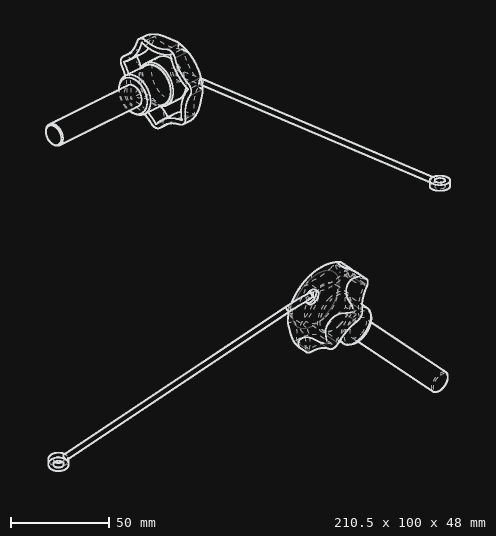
import cadquery as cq
import math

lobe_count = 7
tip_radius = 25.0
lobe_radius = 4.5
valley_radius = 21.36
wall = 3.0

crown_height = 15.2
shoulder_height = 13.3
shoulder_radius = 16.8
side_height = 4.6
cavity_depth = 9.5

boss_diameter = 24.0
boss_end = 0.8
hub_diameter = 21.9
hub_length = 17.3
hub_chamfer = 1.0
hub_chamfer_length = 1.5
stem_diameter = 12.0
stem_end = 76.8
stem_chamfer = 0.6

anchor_diameter = 8.0
anchor_top = 16.6
cord_diameter = 3.2
cord_height = 17.9
cord_start = 15.0
cord_root_height = 16.5
cord_root_x = -1.7
eye_diameter = 10.5
eye_hole = 5.3
eye_thickness = 3.4
overall_length = 210.5

half_pitch = math.pi / lobe_count
lobe_center = tip_radius - lobe_radius
valley_to_lobe = valley_radius - lobe_radius
scallop_center = (lobe_center**2 - valley_to_lobe**2) / (
    2 * (lobe_center * math.cos(half_pitch) - valley_to_lobe)
)
scallop_radius = scallop_center - valley_radius

left_reach = lobe_center * math.cos(half_pitch / 2) + lobe_radius
eye_x = overall_length - left_reach - eye_diameter / 2


def polar(radius, angle):
    return (radius * math.cos(angle), radius * math.sin(angle))


def cylinder(diameter, y_from, y_to):
    """Solid cylinder on the knob axis."""
    plane = cq.Workplane("XZ", origin=(0, y_from, 0))
    return plane.circle(diameter / 2).extrude(y_from - y_to)


def lobe_angle(index):
    return -math.pi / 2 + 2 * half_pitch * index


def star_outline():
    """Rounded lobes joined tangentially by concave scallops."""
    contact_ratio = lobe_radius / (lobe_radius + scallop_radius)
    center = polar(lobe_center, half_pitch)
    contact_x = center[0] + (scallop_center - center[0]) * contact_ratio
    contact_y = center[1] * (1 - contact_ratio)
    contact_radius = math.hypot(contact_x, contact_y)
    contact_offset = half_pitch - math.atan2(contact_y, contact_x)

    outline = cq.Workplane("XZ").moveTo(*polar(contact_radius, lobe_angle(0) - contact_offset))
    for index in range(lobe_count):
        angle = lobe_angle(index)
        next_angle = lobe_angle(index + 1)
        outline = outline.threePointArc(
            polar(tip_radius, angle), polar(contact_radius, angle + contact_offset)
        )
        outline = outline.threePointArc(
            polar(valley_radius, angle + half_pitch),
            polar(contact_radius, next_angle - contact_offset),
        )
    return outline.close()


def cavity_outline():
    """Scallops moved inward by the wall, meeting in sharp corners."""
    inner_scallop = scallop_radius + wall
    corner_radius = scallop_center * math.cos(half_pitch) - math.sqrt(
        inner_scallop**2 - (scallop_center * math.sin(half_pitch)) ** 2
    )
    outline = cq.Workplane("XZ").moveTo(*polar(corner_radius, lobe_angle(0)))
    for index in range(lobe_count):
        outline = outline.threePointArc(
            polar(valley_radius - wall, lobe_angle(index) + half_pitch),
            polar(corner_radius, lobe_angle(index + 1)),
        )
    return outline.close()


def crowned_blank():
    """Turned blank with a shallow domed top and a rounded shoulder."""
    diagonal = math.sqrt(0.5)
    shoulder_middle = (
        shoulder_radius + (tip_radius - shoulder_radius) * diagonal,
        side_height + (shoulder_height - side_height) * diagonal,
    )
    rise = crown_height - shoulder_height
    dome_radius = (shoulder_radius**2 + rise**2) / (2 * rise)
    middle = shoulder_radius / 2
    middle_height = crown_height - dome_radius + math.sqrt(dome_radius**2 - middle**2)
    return (
        cq.Workplane("XY")
        .lineTo(tip_radius, 0)
        .lineTo(tip_radius, side_height)
        .threePointArc(shoulder_middle, (shoulder_radius, shoulder_height))
        .threePointArc((middle, middle_height), (0, crown_height))
        .close()
        .revolve(360, (0, 0, 0), (0, 1, 0))
    )


def knob_head():
    star = star_outline().extrude(-crown_height)
    cavity = cavity_outline().extrude(-cavity_depth)
    return crowned_blank().intersect(star).cut(cavity)


def hub_and_stem():
    boss = cylinder(boss_diameter, cavity_depth, -boss_end).faces("<Y").chamfer(boss_end)
    hub = cylinder(hub_diameter, cavity_depth, -hub_length)
    hub = hub.faces("<Y").chamfer(hub_chamfer_length, hub_chamfer)
    stem = cylinder(stem_diameter, 0, -stem_end).faces("<Y").chamfer(stem_chamfer)
    return boss.union(hub).union(stem)


def cord():
    anchor = cylinder(anchor_diameter, shoulder_height, anchor_top)
    root_direction = (4, 1)
    bend_end = (cord_start - cord_root_x, cord_height - cord_root_height)
    path = cq.Workplane("XY", origin=(cord_root_x, cord_root_height, 0)).spline(
        [(0, 0), bend_end], tangents=[root_direction, (1, 0)]
    )
    root = cq.Workplane("YZ", origin=(cord_root_x, cord_root_height, 0))
    bend = root.circle(cord_diameter / 2).sweep(path)
    straight = (
        cq.Workplane("YZ", origin=(cord_start, cord_height, 0))
        .circle(cord_diameter / 2)
        .extrude(eye_x - (eye_hole + eye_diameter) / 4 - cord_start)
    )
    eye_base = cq.Workplane("XY", origin=(eye_x, cord_height, -eye_thickness / 2))
    eye = eye_base.circle(eye_diameter / 2).extrude(eye_thickness)
    hole = eye_base.circle(eye_hole / 2).extrude(eye_thickness)
    return anchor.union(bend).union(straight).union(eye).cut(hole)


result = knob_head().union(hub_and_stem()).union(cord())